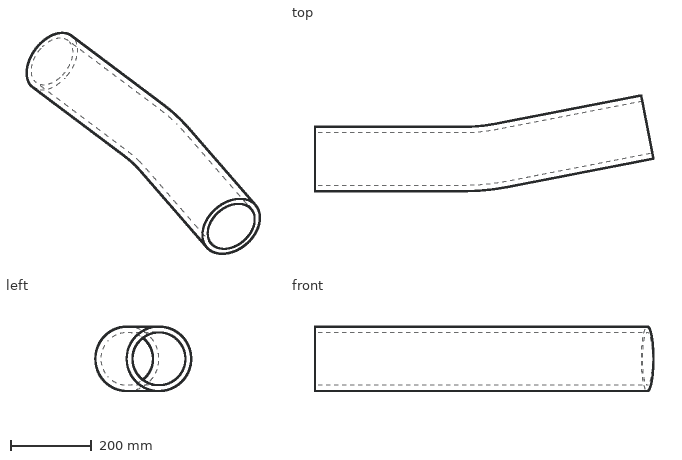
import cadquery as cq
import math

overall_length = 838.0
outer_diameter = 160.0
bore_diameter = 131.0
bend_angle = 11.0
bend_radius = 3 * outer_diameter

bend_radians = math.radians(bend_angle)
bend_and_end_face_length = (bend_radius + outer_diameter / 2) * math.sin(bend_radians)
leg_length = (overall_length - bend_and_end_face_length) / (1 + math.cos(bend_radians))


def bend_point(angle):
    """Point on the bend centreline, turned by angle from the first leg toward +Y."""
    return (
        leg_length + bend_radius * math.sin(angle),
        bend_radius * (1 - math.cos(angle)),
    )


def pipe_centreline():
    """Straight leg along +X, tangent bend, then an equal straight leg."""
    bend_end = bend_point(bend_radians)
    pipe_end = (
        bend_end[0] + leg_length * math.cos(bend_radians),
        bend_end[1] + leg_length * math.sin(bend_radians),
    )
    return (
        cq.Workplane("XY")
        .lineTo(*bend_point(0))
        .threePointArc(bend_point(bend_radians / 2), bend_end)
        .lineTo(*pipe_end)
    )


def pipe():
    """Ring section swept along the centreline, open at both ends."""
    return (
        cq.Workplane("YZ")
        .circle(outer_diameter / 2)
        .circle(bore_diameter / 2)
        .sweep(pipe_centreline())
    )


result = pipe()